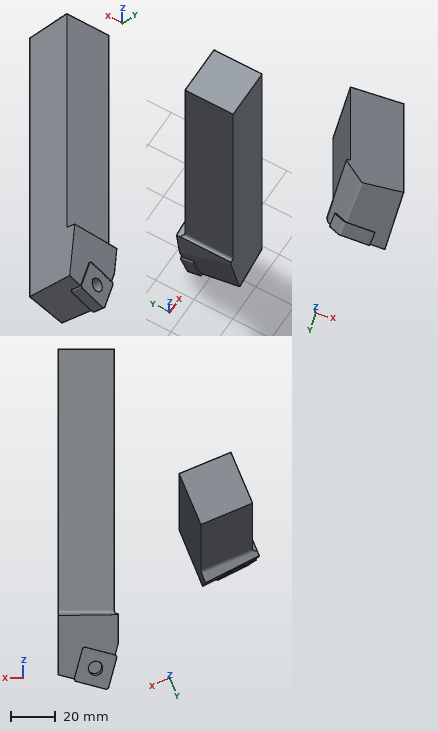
import cadquery as cq
import math

shank_size = 25.0
overall_length = 151.35

left_step = 1.76
shoulder_height = 33.95
shoulder_slope = 12.0
shoulder_fillet = 1.4
head_corner_radius = 0.8

lead_offset = 15.0
edge_inclination = 6.0
half_corner = 45.0

insert_size = 15.875
insert_thickness = 6.35
insert_hole_diameter = 6.35
nose_radius = 1.2
corner_setback = 22.2

side_overhang = 1.0
end_overhang = 0.8
face_overhang = 0.53

back_blank = 8.0
blank_size = 3 * shank_size

lead = math.radians(lead_offset)
diagonal_angle = lead + math.radians(half_corner)
diagonal_slope = math.sqrt(2) * math.tan(math.radians(edge_inclination))
slope_along_x = diagonal_slope * math.cos(diagonal_angle)
slope_along_z = diagonal_slope * math.sin(diagonal_angle)
nose_rise = nose_radius * (math.cos(lead) + math.sin(lead) - 1)
level_diagonal = (math.sin(diagonal_angle), 0, -math.cos(diagonal_angle))
rake_plane = cq.Plane(
    origin=(shank_size - corner_setback, shank_size, -nose_rise),
    xDir=level_diagonal,
    normal=(slope_along_x, -1, slope_along_z),
).rotated((0, 0, half_corner))


def extrude_insert_outline():
    """Square plate with rounded corners, lying on the rake plane."""
    return (
        cq.Workplane(rake_plane)
        .rect(insert_size, insert_size, centered=False)
        .extrude(insert_thickness)
        .edges(cq.selectors.ParallelDirSelector(rake_plane.zDir))
        .fillet(nose_radius)
    )


def make_insert():
    """Plate with a central through hole."""
    hole = (
        cq.Workplane(rake_plane)
        .center(insert_size / 2, insert_size / 2)
        .circle(insert_hole_diameter / 2)
        .extrude(insert_thickness)
    )
    return extrude_insert_outline().cut(hole)


def make_shank():
    return (
        cq.Workplane("XY", origin=(0, 0, shoulder_height))
        .rect(shank_size, shank_size, centered=False)
        .extrude(overall_length - shoulder_height)
    )


def make_head_blank():
    """Block whose top is level under the shank and slopes down across the -X and +Y steps."""
    slope_ratio = math.tan(math.radians(shoulder_slope))
    across_back = (
        cq.Workplane("YZ", origin=(-left_step, 0, 0))
        .polyline([
            (0, 0),
            (0, shoulder_height),
            (shank_size, shoulder_height),
            (shank_size + back_blank, shoulder_height - back_blank * slope_ratio),
            (shank_size + back_blank, 0),
        ])
        .close()
        .extrude(left_step + shank_size)
    )
    across_left = (
        cq.Workplane("XZ")
        .polyline([
            (shank_size, 0),
            (shank_size, shoulder_height),
            (0, shoulder_height),
            (-left_step, shoulder_height - left_step * slope_ratio),
            (-left_step, 0),
        ])
        .close()
        .extrude(-(shank_size + back_blank))
    )
    return across_back.intersect(across_left)


def make_flank_envelope():
    """Space behind the head's rake face and its two flanks, the corner between the flanks rounded."""
    corner_edge_middle = rake_plane.toWorldCoords((side_overhang, end_overhang, blank_size / 2))
    return (
        cq.Workplane(rake_plane)
        .workplane(offset=face_overhang)
        .center(side_overhang, end_overhang)
        .rect(blank_size, blank_size, centered=False)
        .extrude(blank_size)
        .edges(cq.selectors.NearestToPointSelector(corner_edge_middle.toTuple()))
        .fillet(head_corner_radius)
    )


def make_holder():
    """Shank and head in one piece, filleted where they meet, with a recess for the insert."""
    head = make_head_blank().intersect(make_flank_envelope())
    left_edge_middle = (0, shank_size / 2, shoulder_height)
    back_edge_middle = (shank_size / 2, shank_size, shoulder_height)
    shoulder_edges = cq.selectors.SumSelector(
        cq.selectors.NearestToPointSelector(left_edge_middle),
        cq.selectors.NearestToPointSelector(back_edge_middle),
    )
    holder = make_shank().union(head).edges(shoulder_edges).fillet(shoulder_fillet)
    return holder.cut(extrude_insert_outline())


insert = make_insert()
holder = make_holder()
result = cq.Compound.makeCompound([holder.val(), insert.val()])